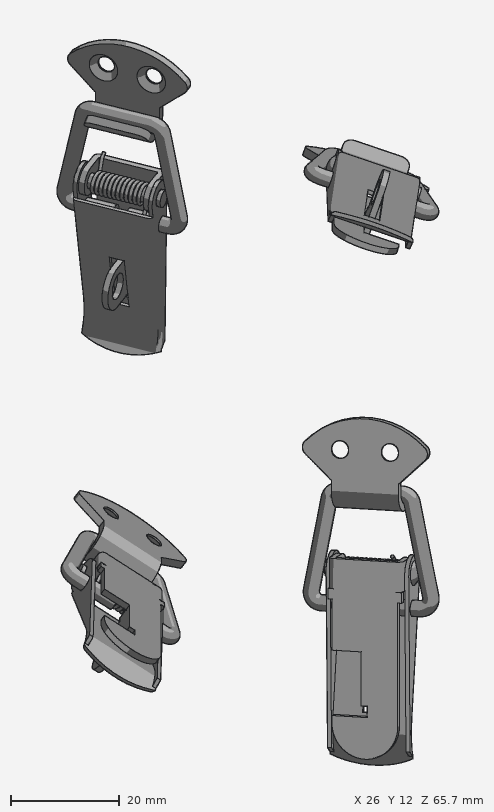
import cadquery as cq
import math


hinge_y = -4.9
rivet_shaft_radius = 1.5
rivet_tail_radius = 1.65
rivet_tail_length = 0.85
rivet_head_radius = 2.3
rivet_head_height = 1.05

overall_height = 65.65
overall_depth = 12.0
top_z = 29.3
bottom_z = top_z - overall_height

lever_half_width = 7.95
lever_thickness = 0.8
lever_inner_half_width = lever_half_width - lever_thickness
lever_end_radius = 3.35
lever_front_offset = lever_end_radius + lever_thickness
lever_tilt = math.radians(10.5)
lever_front_top_z = -2.4
lever_straight_length = 26.65
lever_curl_radius = 13.1
lever_curl_angle = math.radians(28)
lever_edge_radius = 0.7
lever_tip_radius = 16.75
lever_tip_reach = 2.0
wall_back_y = -2.4
wall_back_z = -33.0
wall_end_z = -34.1
slot_half_width = 1.5
slot_top_z = -14.85
slot_bottom_z = -26.3

base_thickness = 1.2
ear_radius = 2.8
ear_outer_x = 7.1
ear_inner_x = ear_outer_x - base_thickness
ear_bend_radius = 1.1
shoulder_z = -4.8
base_half_width = 6.3
base_bottom_z = -34.35

lug_left_x = -0.45
lug_right_x = lug_left_x + base_thickness
lug_radius = 4.3
lug_hole_radius = 2.5
lug_hole_y = -7.55
lug_hole_z = -19.95
lug_center_y = lug_radius - overall_depth
lug_center_z = -20.15
lug_root_top_z = -14.3
lug_root_y = -3.15
lug_notch_bottom_z = -26.5

strike_thickness = 1.6
strike_arc_radius = 16.3
strike_corner_x = 12.7
strike_corner_radius = 1.65
neck_half_width = 6.45
neck_top_z = 17.4
screw_hole_x = 4.8
screw_hole_z = 23.25
screw_hole_diameter = 3.3
countersink_diameter = 5.7
countersink_angle = 90
hook_inner_radius = 2.1
hook_center_z = 15.4
hook_lip_angle = math.radians(56)
hook_lip_length = 1.65
hook_corner_radius = 2.0

bail_wire_radius = 1.5
bail_bend_radius = 2.0
bail_pivot_y = -3.95
bail_pivot_z = -6.4
bail_top_z = 14.9
bail_top_half_length = 6.05
bail_bottom_bend_x = 9.5
bail_end_x = 1.3
bail_lean_degrees = 0.9

spring_wire_radius = 0.3
spring_coil_radius = 2.0
spring_half_length = 5.1
spring_full_turns = 12
spring_knee_y = -1.6
spring_knee_z = 3.1
spring_tip_y = -0.5
spring_tip_z = 3.75
spring_foot_y = -6.75
spring_foot_z = -5.9


def rod(start, end, radius):
    """Round rod between two points."""
    start = cq.Vector(*start)
    end = cq.Vector(*end)
    axis = end - start
    return cq.Workplane(obj=cq.Solid.makeCylinder(radius, axis.Length, start, axis))


def cross_bore(y, z, radius):
    """Bore along X that passes through the whole latch."""
    reach = 2 * lever_half_width
    return rod((-reach, y, z), (reach, y, z), radius)


def box_between(low, high):
    """Box spanned by two opposite corners."""
    size = [b - a for a, b in zip(low, high)]
    return cq.Workplane("XY").box(*size, centered=False).translate(low)


def side_plate(x):
    """Workplane parallel to YZ at the given X, for outlines that are extruded along +X."""
    return cq.Workplane("YZ", origin=(x, 0, 0))


def make_ears():
    """Upper channel of the base, whose two side walls carry the rivet."""
    ear_front_y = hinge_y - ear_radius
    channel = box_between((-ear_outer_x, ear_front_y, -ear_radius), (ear_outer_x, 0, ear_radius))
    channel = channel.edges("|Z and >Y").fillet(ear_bend_radius)
    hollow = box_between(
        (-ear_inner_x, ear_front_y, -ear_radius), (ear_inner_x, -base_thickness, ear_radius)
    )
    channel = channel.cut(hollow)
    ear_outline = (
        side_plate(-ear_outer_x)
        .moveTo(0, ear_radius)
        .lineTo(hinge_y, ear_radius)
        .threePointArc((ear_front_y, 0), (hinge_y, -ear_radius))
        .lineTo(0, -ear_radius)
        .close()
        .extrude(2 * ear_outer_x)
    )
    return channel.intersect(ear_outline)


def make_base_plate():
    """Flat plate with a round lower end and an open side notch beside the lug."""
    shoulder = box_between((-ear_outer_x, -base_thickness, shoulder_z), (ear_outer_x, 0, -ear_radius))
    tongue = (
        cq.Workplane("XZ")
        .moveTo(-base_half_width, shoulder_z)
        .lineTo(-base_half_width, base_bottom_z + base_half_width)
        .threePointArc((0, base_bottom_z), (base_half_width, base_bottom_z + base_half_width))
        .lineTo(base_half_width, shoulder_z)
        .close()
        .extrude(base_thickness)
    )
    notch = box_between(
        (lug_left_x, -base_thickness, lug_notch_bottom_z), (base_half_width, 0, lug_root_top_z)
    )
    return shoulder.union(tongue).cut(notch)


def make_lug():
    """Upright tab with a round, drilled end and a taller root."""
    top = lug_center_z + lug_radius
    bottom = lug_center_z - lug_radius
    return (
        side_plate(lug_left_x)
        .moveTo(0, lug_root_top_z)
        .lineTo(lug_root_y, lug_root_top_z)
        .lineTo(lug_root_y, top)
        .lineTo(lug_center_y, top)
        .threePointArc((lug_center_y - lug_radius, lug_center_z), (lug_center_y, bottom))
        .lineTo(0, bottom)
        .close()
        .moveTo(lug_hole_y, lug_hole_z)
        .circle(lug_hole_radius)
        .extrude(lug_right_x - lug_left_x)
    )


def make_base():
    base = make_base_plate().union(make_ears()).union(make_lug())
    return base.cut(cross_bore(hinge_y, 0, rivet_shaft_radius))


def lever_point(offset, distance):
    """(Y, Z) at an offset in front of the hinge axis and a distance down the tilted lever."""
    y = hinge_y - offset * math.cos(lever_tilt) + distance * math.sin(lever_tilt)
    z = -offset * math.sin(lever_tilt) - distance * math.cos(lever_tilt)
    return y, z


curl_center_y, curl_center_z = lever_point(lever_front_offset + lever_curl_radius, lever_straight_length)
curl_outer_radius = lever_curl_radius + lever_thickness
curl_drop = curl_outer_radius * math.sin(lever_curl_angle)
tip_length = (curl_center_z - curl_drop - bottom_z) / math.cos(lever_curl_angle)


def curl_point(radius, angle):
    """(Y, Z) on the curled lever end; the angle is zero where the curl runs vertically."""
    return curl_center_y + radius * math.cos(angle), curl_center_z - radius * math.sin(angle)


def tip_point(radius):
    """(Y, Z) at the end of the short flat that continues the curl."""
    y, z = curl_point(radius, lever_curl_angle)
    return y - tip_length * math.sin(lever_curl_angle), z - tip_length * math.cos(lever_curl_angle)


def lever_line_point(offset, z):
    """(Y, Z) where the tilted line at the given offset reaches the given height."""
    return lever_point(offset, -(z + offset * math.sin(lever_tilt)) / math.cos(lever_tilt))


def make_lever_face():
    """Front sheet: a tilted flat that ends in a forward curl."""
    return (
        side_plate(-lever_half_width)
        .moveTo(*lever_line_point(lever_front_offset, lever_front_top_z))
        .lineTo(*lever_point(lever_front_offset, lever_straight_length))
        .threePointArc(curl_point(lever_curl_radius, 0), curl_point(lever_curl_radius, lever_curl_angle))
        .lineTo(*tip_point(lever_curl_radius))
        .lineTo(*tip_point(curl_outer_radius))
        .lineTo(*curl_point(curl_outer_radius, lever_curl_angle))
        .threePointArc(
            curl_point(curl_outer_radius, 0), lever_point(lever_end_radius, lever_straight_length)
        )
        .lineTo(*lever_line_point(lever_end_radius, lever_front_top_z))
        .close()
        .extrude(2 * lever_half_width)
    )


def make_lever_wall(x):
    """Side wall with a round upper end about the hinge axis."""
    wall_end_angle = math.asin((curl_center_z - wall_end_z) / curl_outer_radius)
    return (
        side_plate(x)
        .moveTo(*lever_point(lever_end_radius, 0))
        .threePointArc((hinge_y, lever_end_radius), (hinge_y + lever_end_radius, 0))
        .lineTo(wall_back_y, wall_back_z)
        .lineTo(*curl_point(curl_outer_radius, wall_end_angle))
        .threePointArc(
            curl_point(curl_outer_radius, 0), lever_point(lever_end_radius, lever_straight_length)
        )
        .close()
        .extrude(lever_thickness)
    )


def make_tip_trim():
    """Cutter that leaves the curled end with a convex arc outline."""
    tip_y, tip_z = tip_point(lever_curl_radius)
    tip_plane = cq.Plane(
        origin=(0, tip_y, tip_z),
        xDir=(1, 0, 0),
        normal=(0, -math.cos(lever_curl_angle), math.sin(lever_curl_angle)),
    )
    half_width = lever_half_width + lever_thickness
    rise = lever_tip_radius - math.sqrt(lever_tip_radius**2 - half_width**2)
    return (
        cq.Workplane(tip_plane)
        .moveTo(-half_width, rise)
        .threePointArc((0, 0), (half_width, rise))
        .lineTo(half_width, -lever_tip_reach)
        .lineTo(-half_width, -lever_tip_reach)
        .close()
        .extrude(lever_tip_reach, both=True)
    )


def make_lever():
    """Slotted handle with folded side walls, bored for the rivet and the bail ends."""
    lever = make_lever_face()
    for x in (-lever_half_width, lever_inner_half_width):
        lever = lever.union(make_lever_wall(x))
    for x in (-lever_half_width, lever_half_width):
        front_edge = (x, *lever_point(lever_front_offset, lever_straight_length / 2))
        lever = lever.edges(cq.selectors.NearestToPointSelector(front_edge)).fillet(lever_edge_radius)
    lever = lever.cut(make_tip_trim())
    slot_back_y = lever_line_point(lever_end_radius, slot_bottom_z)[0]
    slot_front_y = lever_line_point(lever_front_offset, slot_top_z)[0]
    slot = box_between(
        (-slot_half_width, slot_front_y, slot_bottom_z), (slot_half_width, slot_back_y, slot_top_z)
    )
    lever = lever.cut(slot)
    lever = lever.cut(cross_bore(hinge_y, 0, rivet_shaft_radius))
    return lever.cut(cross_bore(bail_pivot_y, bail_pivot_z, bail_wire_radius))


def dome_middle(radius, height, face_x):
    """Point halfway along the arc from the rim of a spherical dome to its crown."""
    sphere_radius = (radius**2 + height**2) / (2 * height)
    half_angle = math.asin(radius / sphere_radius) / 2
    center_x = face_x - height + sphere_radius
    return center_x - sphere_radius * math.cos(half_angle), sphere_radius * math.sin(half_angle)


def make_rivet():
    """Hinge pin with a domed head on the -X side and an upset tail on the +X side."""
    face_x = lever_half_width
    return (
        cq.Workplane("XY", origin=(0, hinge_y, 0))
        .moveTo(-face_x - rivet_head_height, 0)
        .threePointArc(
            dome_middle(rivet_head_radius, rivet_head_height, -face_x), (-face_x, rivet_head_radius)
        )
        .lineTo(-face_x, rivet_shaft_radius)
        .lineTo(face_x, rivet_shaft_radius)
        .lineTo(face_x, rivet_tail_radius)
        .lineTo(face_x + rivet_tail_length, rivet_tail_radius)
        .lineTo(face_x + rivet_tail_length, 0)
        .close()
        .revolve(360, (0, 0, 0), (1, 0, 0))
    )


def make_strike_plate():
    corner_z = top_z - strike_arc_radius + math.sqrt(strike_arc_radius**2 - strike_corner_x**2)
    plate = (
        cq.Workplane("XZ")
        .moveTo(-strike_corner_x, corner_z)
        .threePointArc((0, top_z), (strike_corner_x, corner_z))
        .lineTo(neck_half_width, neck_top_z)
        .lineTo(neck_half_width, hook_center_z)
        .lineTo(-neck_half_width, hook_center_z)
        .lineTo(-neck_half_width, neck_top_z)
        .close()
        .extrude(strike_thickness)
    )
    plate = plate.edges("|Y and (>X or <X)").fillet(strike_corner_radius)
    return (
        plate.faces("<Y")
        .workplane(origin=(0, 0, 0))
        .pushPoints([(-screw_hole_x, screw_hole_z), (screw_hole_x, screw_hole_z)])
        .cskHole(screw_hole_diameter, countersink_diameter, countersink_angle)
    )


def make_hook():
    """Strip that bends forward under the bail and ends in a lip with rounded corners."""
    hook_center_y = -strike_thickness - hook_inner_radius
    hook_outer_radius = hook_inner_radius + strike_thickness

    def around(radius, angle, along=0.0):
        """(Y, Z) on the bend, with the angle measured forward from straight down."""
        y = hook_center_y - radius * math.sin(angle) - along * math.cos(angle)
        return y, hook_center_z - radius * math.cos(angle) + along * math.sin(angle)

    hook = (
        side_plate(-neck_half_width)
        .moveTo(0, hook_center_z)
        .threePointArc(around(hook_outer_radius, 0), around(hook_outer_radius, hook_lip_angle))
        .lineTo(*around(hook_outer_radius, hook_lip_angle, hook_lip_length))
        .lineTo(*around(hook_inner_radius, hook_lip_angle, hook_lip_length))
        .lineTo(*around(hook_inner_radius, hook_lip_angle))
        .threePointArc(around(hook_inner_radius, 0), (-strike_thickness, hook_center_z))
        .close()
        .extrude(2 * neck_half_width)
    )
    lip_middle_radius = hook_inner_radius + strike_thickness / 2
    for x in (-neck_half_width, neck_half_width):
        lip_corner = (x, *around(lip_middle_radius, hook_lip_angle, hook_lip_length))
        hook = hook.edges(cq.selectors.NearestToPointSelector(lip_corner)).fillet(hook_corner_radius)
    return hook


def make_strike(bail):
    """Strike plate with its hook, relieved where the bends of the bail pass the hook's ends."""
    return make_strike_plate().union(make_hook()).cut(bail)


def make_bail():
    """Wire loop whose two open ends enter the lever walls."""
    bend_r = bail_bend_radius
    upper_z = bail_top_z - bend_r
    lower_z = bail_pivot_z + bend_r
    lean = math.atan((bail_bottom_bend_x - bail_top_half_length) / (upper_z - lower_z))

    def bend_point(side, x, z, angle):
        """Point on a bend about (x, z), with the angle measured up from the outward direction."""
        return side * (x + bend_r * math.cos(angle)), z + bend_r * math.sin(angle)

    upper_middle = (lean + math.pi / 2) / 2
    lower_middle = (lean - math.pi / 2) / 2
    path = (
        cq.Workplane("XZ", origin=(0, bail_pivot_y, 0))
        .moveTo(-bail_end_x, bail_pivot_z)
        .lineTo(-bail_bottom_bend_x, bail_pivot_z)
        .threePointArc(
            bend_point(-1, bail_bottom_bend_x, lower_z, lower_middle),
            bend_point(-1, bail_bottom_bend_x, lower_z, lean),
        )
        .lineTo(*bend_point(-1, bail_top_half_length, upper_z, lean))
        .threePointArc(
            bend_point(-1, bail_top_half_length, upper_z, upper_middle), (-bail_top_half_length, bail_top_z)
        )
        .lineTo(bail_top_half_length, bail_top_z)
        .threePointArc(
            bend_point(1, bail_top_half_length, upper_z, upper_middle),
            bend_point(1, bail_top_half_length, upper_z, lean),
        )
        .lineTo(*bend_point(1, bail_bottom_bend_x, lower_z, lean))
        .threePointArc(
            bend_point(1, bail_bottom_bend_x, lower_z, lower_middle), (bail_bottom_bend_x, bail_pivot_z)
        )
        .lineTo(bail_end_x, bail_pivot_z)
    )
    wire = (
        cq.Workplane("YZ", origin=(-bail_end_x, bail_pivot_y, bail_pivot_z))
        .circle(bail_wire_radius)
        .sweep(path)
    )
    pivot = (0, bail_pivot_y, bail_pivot_z)
    pivot_end = (-1, bail_pivot_y, bail_pivot_z)
    return wire.rotate(pivot, pivot_end, bail_lean_degrees)


def coil_tangent_angle(y, z):
    """Angle below straight back at which a leg from (y, z) touches the back of the coil."""
    distance = math.hypot(y - hinge_y, z)
    direction = math.atan2(-z, y - hinge_y)
    half_angle = math.acos(spring_coil_radius / distance)
    return direction + half_angle if z > 0 else direction - half_angle


def coil_point(x, angle):
    """Point on the coil's center line at an angle below straight back."""
    return (
        x,
        hinge_y + spring_coil_radius * math.cos(angle),
        -spring_coil_radius * math.sin(angle),
    )


def make_spring():
    """Coil around the rivet, with one leg hooked over the base and one pressing on the lever."""
    start_angle = coil_tangent_angle(spring_knee_y, spring_knee_z)
    end_angle = coil_tangent_angle(spring_foot_y, spring_foot_z)
    length = 2 * spring_half_length
    turns = spring_full_turns + (end_angle - start_angle) / math.tau
    helix = cq.Wire.makeHelix(length / turns, length, spring_coil_radius, lefthand=True)
    coil = (
        cq.Workplane("XZ", origin=(spring_coil_radius, 0, 0))
        .circle(spring_wire_radius)
        .sweep(cq.Workplane(obj=helix), isFrenet=True)
    )
    coil_frame = cq.Plane(
        origin=(-spring_half_length, hinge_y, 0),
        xDir=(0, math.cos(start_angle), -math.sin(start_angle)),
        normal=(1, 0, 0),
    )
    knee = (-spring_half_length, spring_knee_y, spring_knee_z)
    tip = (-spring_half_length, spring_tip_y, spring_tip_z)
    foot = (spring_half_length, spring_foot_y, spring_foot_z)
    legs = [
        rod(coil_point(-spring_half_length, start_angle), knee, spring_wire_radius),
        cq.Workplane("XY").sphere(spring_wire_radius).translate(knee),
        rod(knee, tip, spring_wire_radius),
        rod(coil_point(spring_half_length, end_angle), foot, spring_wire_radius),
    ]
    placed_coil = coil.val().moved(cq.Location(coil_frame))
    return cq.Workplane(obj=placed_coil.fuse(*[leg.val() for leg in legs]))


base = make_base()
lever = make_lever()
rivet = make_rivet()
bail = make_bail()
strike = make_strike(bail)
spring = make_spring()

result = cq.Compound.makeCompound(
    [body.solids().val() for body in (base, lever, rivet, bail, strike, spring)]
)